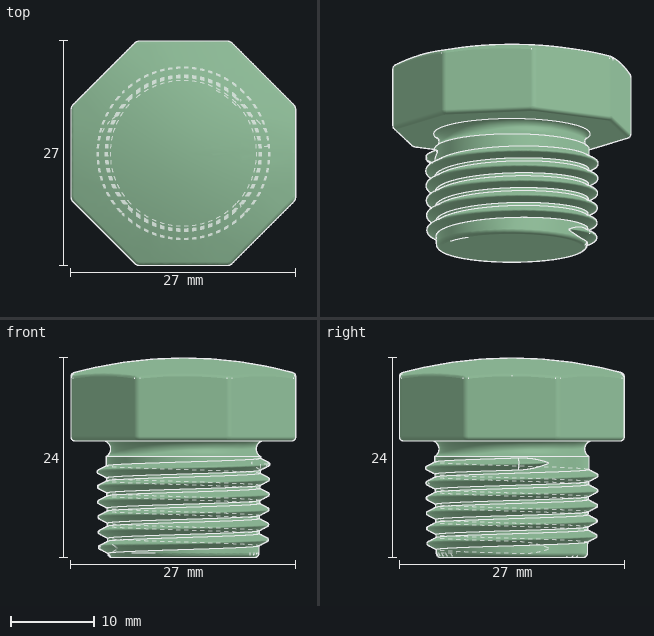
import cadquery as cq
import math

head_across_flats = 27.0
head_sides = 8
total_height = 24.0
head_bottom_z = 14.0
dome_radius = 50.0
head_corner_fillet = 0.9
head_rim_fillet = 0.5

draft_angle = 1.0
core_tip_radius = 9.08
core_top_z = 12.15
neck_radius = 8.77
neck_top_radius = 9.4
tip_rounding = 0.55

inch = 25.4
thread_pitch = inch / 14
flank_half_angle = math.radians(27.5)
crest_rounding = 0.137 * thread_pitch
thread_base_width = 0.8 * thread_pitch
thread_root_overlap = 0.15
thread_start_angle = 174.0
thread_start_z = 1.22
thread_turns = 5.53
runout_angle = 23.0
runout_sections = 5
runout_end_scale = 0.1

draft_slope = math.tan(math.radians(draft_angle))
runout_rise = thread_pitch * runout_angle / 360


def core_radius(z):
    return core_tip_radius + z * draft_slope


def make_head():
    """Octagonal prism with flats square to X and Y, trimmed by a sphere."""
    corner_diameter = head_across_flats / math.cos(math.pi / head_sides)
    prism = (
        cq.Workplane("XY")
        .workplane(offset=head_bottom_z)
        .transformed(rotate=(0, 0, 180 / head_sides))
        .polygon(head_sides, corner_diameter)
        .extrude(total_height - head_bottom_z)
        .edges("|Z")
        .fillet(head_corner_fillet)
    )
    dome = cq.Workplane("XY").sphere(dome_radius).translate((0, 0, total_height - dome_radius))
    head = prism.intersect(dome)
    rim_edges = head.faces("<Z").edges().add(head.faces("%SPHERE").edges())
    return rim_edges.fillet(head_rim_fillet)


def make_shank():
    """Revolved core with a rounded tip and a concave neck that meets the head."""
    rounding_middle = tip_rounding * (1 - math.sqrt(0.5))
    neck_middle_z = (core_top_z + head_bottom_z) / 2
    return (
        cq.Workplane("XZ")
        .moveTo(0, 0)
        .lineTo(core_tip_radius - tip_rounding, 0)
        .threePointArc(
            (core_tip_radius - rounding_middle, rounding_middle),
            (core_radius(tip_rounding), tip_rounding),
        )
        .lineTo(core_radius(core_top_z), core_top_z)
        .threePointArc((neck_radius, neck_middle_z), (neck_top_radius, head_bottom_z))
        .lineTo(0, head_bottom_z)
        .close()
        .revolve(360, (0, 0), (0, 1))
    )


def thread_profile(angle, z, scale):
    """Closed ridge outline in the radial plane at the given angle; scale shrinks the ridge."""
    half_base = scale * thread_base_width / 2
    rounding = scale * crest_rounding
    apex = half_base / math.tan(flank_half_angle)
    arc_center = apex - rounding / math.sin(flank_half_angle)
    tangent_height = arc_center + rounding * math.sin(flank_half_angle)
    tangent_half_width = rounding * math.cos(flank_half_angle)
    base = core_radius(z)
    turn = math.radians(angle)
    plane = cq.Plane(
        origin=(0, 0, z),
        xDir=(math.cos(turn), math.sin(turn), 0),
        normal=(math.sin(turn), -math.cos(turn), 0),
    )
    return (
        cq.Workplane(plane)
        .moveTo(base - thread_root_overlap, -half_base)
        .lineTo(base, -half_base)
        .lineTo(base + tangent_height, -tangent_half_width)
        .threePointArc((base + arc_center + rounding, 0), (base + tangent_height, tangent_half_width))
        .lineTo(base, half_base)
        .lineTo(base - thread_root_overlap, half_base)
        .close()
    )


def make_thread_body():
    """Full-height ridge swept along a helix that follows the drafted core."""
    height = thread_pitch * thread_turns
    helix = cq.Wire.makeHelix(thread_pitch, height, core_radius(thread_start_z), angle=draft_angle)
    helix = helix.rotate(cq.Vector(0, 0, 0), cq.Vector(0, 0, 1), thread_start_angle)
    helix = helix.translate(cq.Vector(0, 0, thread_start_z))
    return thread_profile(thread_start_angle, thread_start_z, 1).sweep(cq.Workplane(helix), isFrenet=True)


def make_runout(angle, z, direction):
    """Parabolic tapering end of the ridge: direction -1 continues downward, +1 upward."""
    sections = []
    for i in range(runout_sections):
        step = i / (runout_sections - 1)
        scale = 1 - step**2 * (1 - runout_end_scale)
        section_angle = angle + direction * step * runout_angle
        section_z = z + direction * step * runout_rise
        sections.append(thread_profile(section_angle, section_z, scale).val())
    return cq.Workplane(cq.Solid.makeLoft(sections))


thread_end_angle = thread_start_angle + 360 * thread_turns
thread_end_z = thread_start_z + thread_pitch * thread_turns

result = (
    make_shank()
    .union(make_head())
    .union(make_thread_body())
    .union(make_runout(thread_start_angle, thread_start_z, -1))
    .union(make_runout(thread_end_angle, thread_end_z, 1))
)